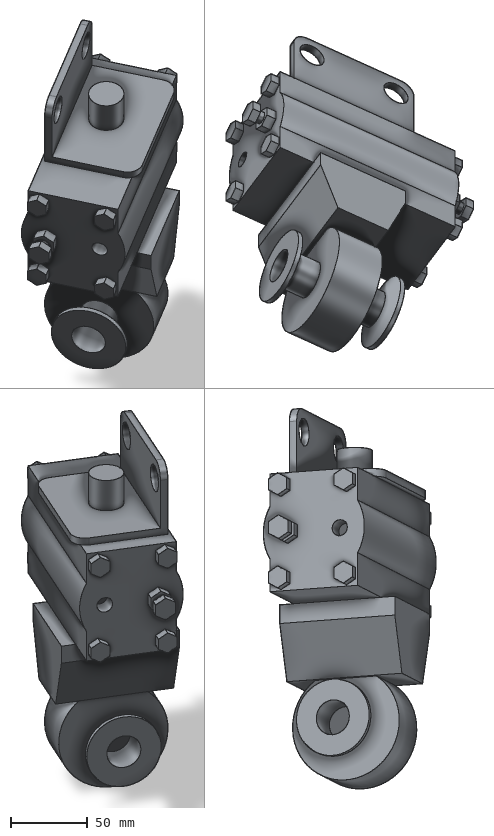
import cadquery as cq
import math


housing_radius = 37.0
housing_thickness = 32.2
ferrule_span = 80.0
flange_diameter = 50.5
flange_rim = 3.2
flange_taper = 4.1
tube_diameter = 25.4
bore_diameter = 23.0

block_length_x = 80.0
block_top_width = 64.0
block_bottom_width = 37.8
block_bottom_z = 30.2
block_taper_z = 66.3
block_top_z = 78.8

actuator_length = 131.7
actuator_width = 61.0
actuator_height = 78.0
actuator_round_radius = 35.0
actuator_offset_y = -9.0
actuator_axis_z = block_top_z + actuator_height / 2
actuator_top_z = block_top_z + actuator_height

bolt_across_flats = 12.7
bolt_head_height = 6.0
bolt_spacing_x = 45.5
bolt_spacing_z = 61.7
adjuster_across_flats = 13.7
adjuster_nut_height = 6.8
adjuster_gap = 4.6
adjuster_span = 166.0
adjuster_overall = (adjuster_span - actuator_length) / 2
adjuster_screw_diameter = 8.0
adjuster_port_spacing = 36.0
port_diameter = 10.5
port_depth = 12.2

bracket_thickness = 5.0
bracket_width = 90.2
bracket_left_x = -28.3
bracket_right_x = actuator_round_radius
overall_height = 243.9
bracket_top_z = overall_height - housing_radius
bracket_corner_radius = 10.0
bracket_hole_diameter = 18.0
bracket_hole_spacing = 63.2
bracket_hole_drop = 14.9
shaft_diameter = 23.0
shaft_height = 27.0


def make_valve():
    housing = cq.Workplane("XZ").circle(housing_radius).extrude(housing_thickness / 2, both=True)
    block_clearance = (
        cq.Workplane("XY", origin=(0, 0, block_bottom_z))
        .rect(2 * housing_radius, 2 * housing_thickness)
        .extrude(housing_radius)
    )
    valve = housing.cut(block_clearance)
    for side in (-1, 1):
        valve = valve.union(make_ferrule(side))
    return valve


def make_ferrule(side):
    """Tube with a tapered clamp flange, from the housing face out; the bore ends at that face."""
    face_y = side * ferrule_span / 2
    rim_y = face_y - side * flange_rim
    tube_end_y = rim_y - side * flange_taper
    housing_face_y = side * housing_thickness / 2
    bore_radius = bore_diameter / 2
    tube_radius = tube_diameter / 2
    flange_radius = flange_diameter / 2
    profile = [
        (bore_radius, housing_face_y),
        (tube_radius, housing_face_y),
        (tube_radius, tube_end_y),
        (flange_radius, rim_y),
        (flange_radius, face_y),
        (bore_radius, face_y),
    ]
    return cq.Workplane("XY").polyline(profile).close().revolve(360, (0, 0, 0), (0, 1, 0))


def make_block():
    """Block whose lower part tapers towards the valve."""
    half_top = block_top_width / 2
    half_bottom = block_bottom_width / 2
    profile = [
        (-half_bottom, block_bottom_z),
        (half_bottom, block_bottom_z),
        (half_top, block_taper_z),
        (half_top, block_top_z),
        (-half_top, block_top_z),
        (-half_top, block_taper_z),
    ]
    return cq.Workplane("YZ").polyline(profile).close().extrude(block_length_x / 2, both=True)


def end_plane(side, x, z_from_axis, outward=0.0):
    """Plane on an actuator end face, or `outward` from it, facing out with local x pointing up."""
    y = actuator_offset_y + side * (actuator_length / 2 + outward)
    return cq.Plane(origin=(x, y, actuator_axis_z + z_from_axis), xDir=(0, 0, 1), normal=(0, side, 0))


def make_hexagon(plane, across_flats, height):
    across_corners = across_flats / math.cos(math.pi / 6)
    return cq.Workplane(plane).polygon(6, across_corners).extrude(height)


def make_adjuster(side):
    """Travel stop: lock nut on the end face, then a bare length of screw and the screw head."""
    x = -adjuster_port_spacing / 2
    nut_plane = end_plane(side, x, 0)
    head_start = adjuster_nut_height + adjuster_gap
    head_height = adjuster_overall - head_start
    nut = make_hexagon(nut_plane, adjuster_across_flats, adjuster_nut_height)
    screw = cq.Workplane(nut_plane).circle(adjuster_screw_diameter / 2).extrude(head_start)
    head = make_hexagon(end_plane(side, x, 0, head_start), adjuster_across_flats, head_height)
    return nut.union(screw).union(head)


def make_actuator():
    centre = (0, actuator_offset_y, actuator_axis_z)
    body = cq.Workplane("XY", origin=centre).box(actuator_width, actuator_length, actuator_height)
    barrel = (
        cq.Workplane("XZ", origin=centre)
        .circle(actuator_round_radius)
        .extrude(actuator_length / 2, both=True)
    )
    shaft = (
        cq.Workplane("XY", origin=(0, 0, actuator_top_z))
        .circle(shaft_diameter / 2)
        .extrude(shaft_height)
    )
    actuator = body.union(barrel).union(shaft)
    for side in (-1, 1):
        for x in (-bolt_spacing_x / 2, bolt_spacing_x / 2):
            for z in (-bolt_spacing_z / 2, bolt_spacing_z / 2):
                bolt_head = make_hexagon(end_plane(side, x, z), bolt_across_flats, bolt_head_height)
                actuator = actuator.union(bolt_head)
        actuator = actuator.union(make_adjuster(side))
        port_plane = end_plane(side, adjuster_port_spacing / 2, 0)
        port = cq.Workplane(port_plane).circle(port_diameter / 2).extrude(-port_depth)
        actuator = actuator.cut(port)
    return actuator


def make_bracket():
    foot_length = bracket_right_x - bracket_left_x
    upright_height = bracket_top_z - actuator_top_z
    from_left_bottom = (False, True, False)
    foot = (
        cq.Workplane("XY", origin=(bracket_left_x, 0, actuator_top_z))
        .box(foot_length, bracket_width, bracket_thickness, centered=from_left_bottom)
        .edges("|Z and >X")
        .fillet(bracket_corner_radius)
    )
    upright = (
        cq.Workplane("XY", origin=(bracket_left_x, 0, actuator_top_z))
        .box(bracket_thickness, bracket_width, upright_height, centered=from_left_bottom)
        .edges("|X and >Z")
        .fillet(bracket_corner_radius)
    )
    shaft_hole = (
        cq.Workplane("XY", origin=(0, 0, actuator_top_z))
        .circle(shaft_diameter / 2)
        .extrude(bracket_thickness)
    )
    mounting_holes = (
        cq.Workplane("YZ", origin=(bracket_left_x, 0, bracket_top_z - bracket_hole_drop))
        .pushPoints([(-bracket_hole_spacing / 2, 0), (bracket_hole_spacing / 2, 0)])
        .circle(bracket_hole_diameter / 2)
        .extrude(bracket_thickness)
    )
    return foot.union(upright).cut(shaft_hole).cut(mounting_holes)


valve = make_valve()
block = make_block()
actuator = make_actuator()
bracket = make_bracket()

result = cq.Compound.makeCompound([valve.val(), block.val(), actuator.val(), bracket.val()])